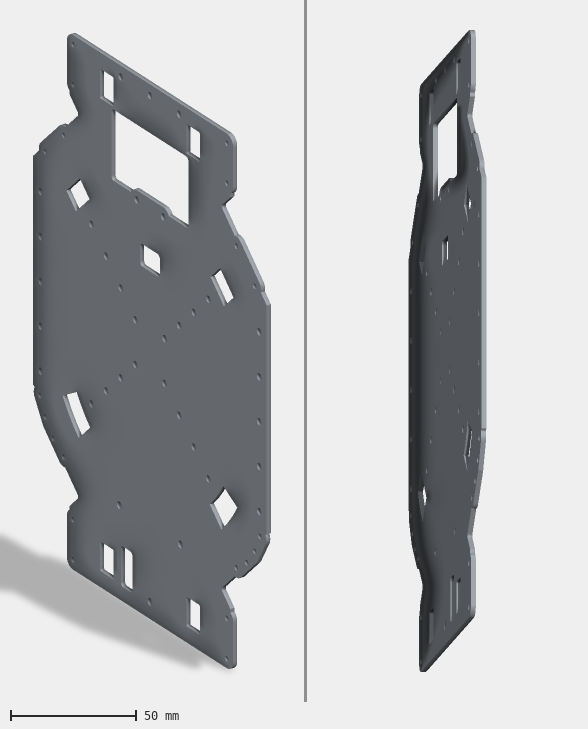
import cadquery as cq
import math

height = 238.5
width = 160.0
thickness = 2.0

neck_half_width = 55.0
notch_x = 48.7
notch_z = 85.5
notch_radius = 1.2
body_edge_bottom = -48.2
low_corner = (73.2, -63.7)
low_edge_normal = -30
shoulder_normal = -45

lug_radius = 4.3
tab_hole_x = 52.7
tab_hole_z = [97.0, height / 2 - lug_radius]
shoulder_near = 59.1
shoulder_far = 71.8
low_side_hole = (75.4, -51.0)
mid_shoulder_hole = (66.3, -66.5)

small_diameter = 2.5
medium_diameter = 3.0
large_diameter = 3.3
pitch = 10.0
diagonal_count = 4
side_hole_x = 75.0
top_hole_z = 114.2
bottom_hole_z = -111.5
lower_pair = (21.0, -77.3)

slot_width = 9.3
slot_length = 13.0
slot_radius = 0.7
end_slot_x = 29.5
end_slot_z = 105.5
shoulder_slot_offset = 49.4
shoulder_slot_angle = -45
long_slot_size = (7.9, 18.1)
long_slot_center = (-16.0, -103.7)
opening_radius = 1.7
small_window_size = (13.5, 10.0)
small_window_z = 40.8
window_width = 52.7
window_top = 97.5
window_bottom = 65.8
window_lug_hole = (9.0, 64.0)

curved_slot_center_z = -pitch
curved_slot_inner_radius = 58.0
curved_slot_outer_radius = 69.2
curved_slot_angles = (30, 45)


def front_plane(x=0, z=0):
    return cq.Workplane("XZ").center(x, z)


def slab(profile):
    """Extrude a closed profile through the plate thickness, centred on Y = 0."""
    return profile.extrude(thickness / 2, both=True)


def both_sides(solid):
    return solid.union(solid.mirror("YZ"))


def on_both_sides(points):
    return [(side * x, z) for x, z in points for side in (-1, 1)]


def lug(start, end):
    """Strip with round ends centred on two points."""
    dx, dz = end[0] - start[0], end[1] - start[1]
    length = math.hypot(dx, dz) + 2 * lug_radius
    middle = front_plane((start[0] + end[0]) / 2, (start[1] + end[1]) / 2)
    return slab(middle.slot2D(length, 2 * lug_radius, math.degrees(math.atan2(dz, dx))))


def rim_point(center, angle):
    """Point on a lug's rim, at an angle in degrees from +X toward +Z."""
    direction = math.radians(angle)
    return (center[0] + lug_radius * math.cos(direction), center[1] + lug_radius * math.sin(direction))


def rounded_rectangle(size, center, radius):
    return slab(front_plane(*center).rect(*size)).edges("|Y").fillet(radius)


def turned_rectangle(size, center, angle):
    block = slab(front_plane().rect(*size))
    return block.rotate((0, 0, 0), (0, 1, 0), angle).translate((center[0], 0, center[1]))


def body():
    half_width = width / 2
    half_height = height / 2
    shoulder_sum = notch_x + notch_z
    neck_z = notch_z + neck_half_width - notch_x
    tab_corner_z = tab_hole_z[1]
    low_shoulder_hole = (shoulder_near, -shoulder_far)
    right_side = [
        (tab_hole_x, half_height),
        (tab_hole_x, tab_corner_z),
        (neck_half_width, tab_corner_z),
        (neck_half_width, neck_z),
        (notch_x, notch_z),
        (half_width, shoulder_sum - half_width),
        (half_width, body_edge_bottom),
        low_side_hole,
        rim_point(low_side_hole, low_edge_normal),
        low_corner,
        rim_point(low_shoulder_hole, shoulder_normal),
        low_shoulder_hole,
        (shoulder_near, shoulder_near - shoulder_sum),
        (notch_x, -notch_z),
        (neck_half_width, -neck_z),
        (neck_half_width, -tab_corner_z),
        (tab_hole_x, -tab_corner_z),
        (tab_hole_x, -half_height),
    ]
    left_side = [(-x, z) for x, z in reversed(right_side)]
    plate = slab(front_plane().polyline(right_side + left_side).close())
    for x, z in on_both_sides([(notch_x, notch_z), (notch_x, -notch_z)]):
        plate = plate.edges(cq.selectors.NearestToPointSelector((x, 0, z))).fillet(notch_radius)
    return plate


def edge_lugs():
    tab_low, tab_high = [(tab_hole_x, z) for z in tab_hole_z]
    tab = lug(tab_low, tab_high)
    shoulder = lug((shoulder_near, shoulder_far), (shoulder_far, shoulder_near))
    round_ends = [low_side_hole, (shoulder_near, -shoulder_far)]
    low_ends = slab(front_plane().pushPoints(round_ends).circle(lug_radius))
    return both_sides(tab.union(tab.mirror("XY")).union(shoulder).union(low_ends))


def holes(points, diameter):
    return slab(front_plane().pushPoints(points).circle(diameter / 2))


def edge_holes():
    points = [low_side_hole, mid_shoulder_hole]
    for end in (-1, 1):
        points += [(tab_hole_x, end * z) for z in tab_hole_z]
        points += [(shoulder_near, end * shoulder_far), (shoulder_far, end * shoulder_near)]
    return holes(on_both_sides(points), small_diameter)


def mounting_holes():
    steps = [pitch * step for step in range(1, diagonal_count + 1)]
    diagonals = [(step, end * step) for step in steps for end in (-1, 1)]
    side_rows = [(side_hole_x, 2 * pitch * row) for row in range(-2, 3)]
    paired = on_both_sides(diagonals + side_rows + [(2 * pitch, top_hole_z)])
    return holes(paired + [(0, top_hole_z)], medium_diameter)


def window():
    """Large opening whose lower edge is stepped up over a lug with two holes."""
    center_z = (window_top + window_bottom) / 2
    opening = rounded_rectangle((window_width, window_top - window_bottom), (0, center_z), opening_radius)
    x, z = window_lug_hole
    return opening.cut(lug((-x, z), (x, z)))


def curved_slot():
    start, end = [math.radians(angle) for angle in curved_slot_angles]
    middle = (start + end) / 2

    def polar(radius, angle):
        return (radius * math.cos(angle), -radius * math.sin(angle))

    inner, outer = curved_slot_inner_radius, curved_slot_outer_radius
    profile = (
        front_plane(0, curved_slot_center_z)
        .moveTo(*polar(inner, start))
        .threePointArc(polar(inner, middle), polar(inner, end))
        .lineTo(*polar(outer, end))
        .threePointArc(polar(outer, middle), polar(outer, start))
        .close()
    )
    return slab(profile)


def slots():
    size = (slot_width, slot_length)
    end_slot = rounded_rectangle(size, (end_slot_x, end_slot_z), slot_radius)
    turned_center = (shoulder_slot_offset, shoulder_slot_offset)
    turned_slot = turned_rectangle(size, turned_center, shoulder_slot_angle)
    right_side = end_slot.union(end_slot.mirror("XY")).union(turned_slot).union(curved_slot())
    return both_sides(right_side)


result = body().union(edge_lugs())
result = result.cut(edge_holes()).cut(mounting_holes())
result = result.cut(holes(on_both_sides([lower_pair]) + [(0, bottom_hole_z)], large_diameter))
result = result.cut(holes(on_both_sides([window_lug_hole]), medium_diameter))
result = result.cut(slots()).cut(window())
result = result.cut(rounded_rectangle(small_window_size, (0, small_window_z), opening_radius))
result = result.cut(rounded_rectangle(long_slot_size, long_slot_center, opening_radius))